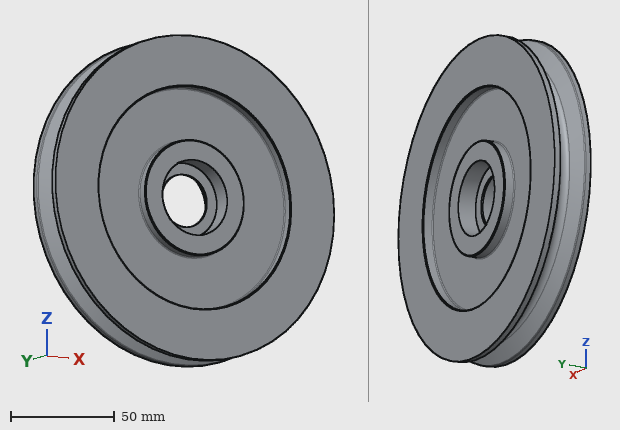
import cadquery as cq
import math

outer_radius = 80.0
width = 20.0

groove_depth = 10.2
groove_half_angle = math.radians(25)
root_radius = 3.0
lip_fillet = 0.6

rim_inner_radius = 54.9
hub_radius = 28.5
recess_depth = 5.5
recess_fillet = 0.5
recess_mouth_chamfer = 0.5

bore_radius = 13.0
counterbore_radius = 18.5
web_thickness = 1.0

half_width = width / 2
counterbore_depth = (width - web_thickness) / 2


def disc(radius, thickness, start):
    """Solid disc on the Y axis, from Y = start towards +Y."""
    plane = cq.Workplane("XZ", origin=(0, start, 0))
    return plane.circle(radius).extrude(-thickness)


def rim_body():
    """Revolved disc with the V-groove around its edge."""
    root_bottom = outer_radius - groove_depth
    root_center = root_bottom + root_radius
    tangent_y = root_radius * math.cos(groove_half_angle)
    tangent_r = root_center - root_radius * math.sin(groove_half_angle)
    mouth_y = tangent_y + (outer_radius - tangent_r) * math.tan(groove_half_angle)

    lip_setback = lip_fillet * math.tan((math.pi / 2 - groove_half_angle) / 2)
    lip_y = mouth_y + lip_setback
    flank_y = mouth_y - lip_setback * math.sin(groove_half_angle)
    flank_r = outer_radius - lip_setback * math.cos(groove_half_angle)

    profile = (
        cq.Workplane("XY")
        .moveTo(0, -half_width)
        .lineTo(outer_radius, -half_width)
        .lineTo(outer_radius, -lip_y)
        .radiusArc((flank_r, -flank_y), -lip_fillet)
        .lineTo(tangent_r, -tangent_y)
        .threePointArc((root_bottom, 0), (tangent_r, tangent_y))
        .lineTo(flank_r, flank_y)
        .radiusArc((outer_radius, lip_y), -lip_fillet)
        .lineTo(outer_radius, half_width)
        .lineTo(0, half_width)
        .close()
    )
    return profile.revolve(360, (0, 0, 0), (0, 1, 0))


def recess_ring():
    """Revolved ring for the -Y face: rounded at its floor, chamfered outwards at its mouth."""
    floor_y = recess_depth - half_width
    floor_wall_y = floor_y - recess_fillet
    mouth_wall_y = recess_mouth_chamfer - half_width
    profile = (
        cq.Workplane("XY")
        .moveTo(hub_radius - recess_mouth_chamfer, -half_width)
        .lineTo(hub_radius, mouth_wall_y)
        .lineTo(hub_radius, floor_wall_y)
        .radiusArc((hub_radius + recess_fillet, floor_y), recess_fillet)
        .lineTo(rim_inner_radius - recess_fillet, floor_y)
        .radiusArc((rim_inner_radius, floor_wall_y), recess_fillet)
        .lineTo(rim_inner_radius, mouth_wall_y)
        .lineTo(rim_inner_radius + recess_mouth_chamfer, -half_width)
        .close()
    )
    return profile.revolve(360, (0, 0, 0), (0, 1, 0))


def face_cuts():
    """Recess and counterbore of the -Y face."""
    return recess_ring().union(disc(counterbore_radius, counterbore_depth, -half_width))


result = rim_body()
result = result.cut(face_cuts())
result = result.cut(face_cuts().mirror("XZ"))
result = result.cut(disc(bore_radius, width, -half_width))